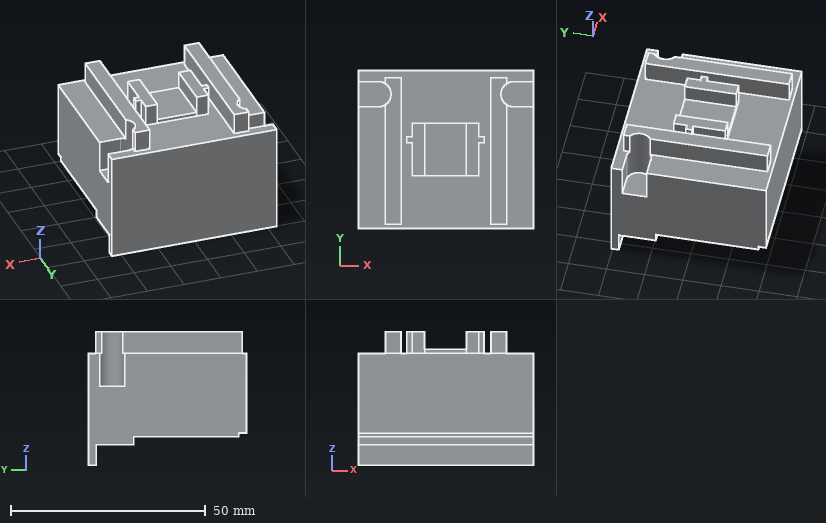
import cadquery as cq

WIDTH = 45.0
DEPTH = 40.6
HOUSING_HEIGHT = 28.7
BACK_Y = DEPTH / 2
FRONT_Y = -DEPTH / 2
LIP_THICKNESS = 2.02
REAR_STEP_DEPTH = 11.7
FRONT_NOTCH_DEPTH = 2.0
REAR_STEP_Z = 5.2
MAIN_BOTTOM_Z = 7.3
FRONT_BOTTOM_Z = 8.3

SLOT_WIDTH = 6.4
SLOT_DEPTH = 8.35
SLOT_STRAIGHT_END_X = 16.85
SLOT_TIP_X = 14.1
SLOT_CENTER_Y = BACK_Y - 6.1

TOP_PART_HEIGHT = 5.6

RAIL_WIDTH = 4.0
RAIL_INNER_X = 11.5
RAIL_BACK_Y = BACK_Y - 1.85
RAIL_FRONT_Y = FRONT_Y + 1.1

CENTER_PARTS_X = -0.15
CENTER_PARTS_Y = 0.05
WALL_SPAN = 17.1
PLATE_LENGTH = 13.5
PLATE_WIDTH = 10.7
PLATE_THICKNESS = 1.1
TAB_SPAN = 19.9
TAB_LENGTH = 1.6
TAB_CENTER_Y = 2.5


def block(center_x, center_y, base_z, size_x, size_y, size_z):
    """Box centred in X and Y, standing on base_z."""
    return (
        cq.Workplane("XY", origin=(center_x, center_y, base_z))
        .box(size_x, size_y, size_z, centered=(True, True, False))
    )


def make_slot_cutter(side):
    """Vertical round-ended cutter, from the slot floor to above the rails."""
    floor_z = HOUSING_HEIGHT - SLOT_DEPTH
    back_y = SLOT_CENTER_Y + SLOT_WIDTH / 2
    front_y = SLOT_CENTER_Y - SLOT_WIDTH / 2
    return (
        cq.Workplane("XY", origin=(0, 0, floor_z))
        .moveTo(side * WIDTH / 2, back_y)
        .lineTo(side * SLOT_STRAIGHT_END_X, back_y)
        .threePointArc((side * SLOT_TIP_X, SLOT_CENTER_Y), (side * SLOT_STRAIGHT_END_X, front_y))
        .lineTo(side * WIDTH / 2, front_y)
        .close()
        .extrude(SLOT_DEPTH + TOP_PART_HEIGHT)
    )


def make_rail(side):
    """Rail standing on the housing top."""
    return block(
        side * (RAIL_INNER_X + RAIL_WIDTH / 2),
        (RAIL_BACK_Y + RAIL_FRONT_Y) / 2,
        HOUSING_HEIGHT,
        RAIL_WIDTH,
        RAIL_BACK_Y - RAIL_FRONT_Y,
        TOP_PART_HEIGHT,
    )


def make_housing():
    """Stepped body with its two rails, both cut by the side slots."""
    profile = [
        (BACK_Y, 0),
        (BACK_Y, HOUSING_HEIGHT),
        (FRONT_Y, HOUSING_HEIGHT),
        (FRONT_Y, FRONT_BOTTOM_Z),
        (FRONT_Y + FRONT_NOTCH_DEPTH, FRONT_BOTTOM_Z),
        (FRONT_Y + FRONT_NOTCH_DEPTH, MAIN_BOTTOM_Z),
        (BACK_Y - REAR_STEP_DEPTH, MAIN_BOTTOM_Z),
        (BACK_Y - REAR_STEP_DEPTH, REAR_STEP_Z),
        (BACK_Y - LIP_THICKNESS, REAR_STEP_Z),
        (BACK_Y - LIP_THICKNESS, 0),
    ]
    body = cq.Workplane("YZ").polyline(profile).close().extrude(WIDTH / 2, both=True)
    for side in (-1, 1):
        body = body.union(make_rail(side))
        body = body.cut(make_slot_cutter(side))
    return body


def make_wall(side):
    """Upright wall beside the plate, with a tab on its outer face."""
    wall_thickness = (WALL_SPAN - PLATE_WIDTH) / 2
    wall = block(
        CENTER_PARTS_X + side * (PLATE_WIDTH + wall_thickness) / 2,
        CENTER_PARTS_Y,
        HOUSING_HEIGHT,
        wall_thickness,
        PLATE_LENGTH,
        TOP_PART_HEIGHT,
    )
    tab_reach = (TAB_SPAN - WALL_SPAN) / 2
    tab = block(
        CENTER_PARTS_X + side * (WALL_SPAN + tab_reach) / 2,
        TAB_CENTER_Y,
        HOUSING_HEIGHT,
        tab_reach,
        TAB_LENGTH,
        TOP_PART_HEIGHT,
    )
    return wall.union(tab)


def make_plate():
    """Thin plate filling the space between the walls."""
    return block(
        CENTER_PARTS_X, CENTER_PARTS_Y, HOUSING_HEIGHT,
        PLATE_WIDTH, PLATE_LENGTH, PLATE_THICKNESS,
    )


housing = make_housing()
walls = [make_wall(side) for side in (-1, 1)]
plate = make_plate()

result = cq.Compound.makeCompound(
    [housing.val(), *[wall.val() for wall in walls], plate.val()]
)